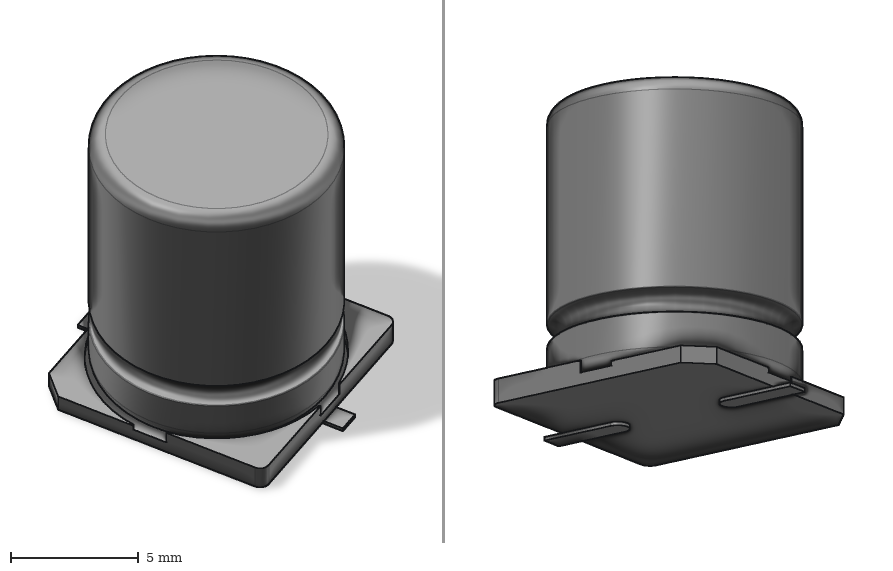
import cadquery as cq
import math

total_height = 12.5
terminal_span = 12.0

terminal_thickness = 0.15
terminal_width = 0.95
terminal_length = 3.7

base_side = 10.3
base_low_top = 0.85
base_high_top = 1.15
seat_floor = 0.65
slot_width = 1.5
corner_cut = 1.0
round_corner_radius = 0.4

can_radius = 5.0
can_edge_radius = 0.65
groove_center_height = 3.25
groove_radius = 0.5
lip_radius = 0.04


def block(x_min, x_max, width, z_min, z_max):
    """Box centred on Y between the given X and Z limits."""
    length = x_max - x_min
    return (
        cq.Workplane("XY", origin=((x_min + x_max) / 2, 0, z_min))
        .rect(length, width)
        .extrude(z_max - z_min)
    )


def make_base():
    half_side = base_side / 2
    low_half = block(-half_side, 0, base_side, terminal_thickness, base_low_top)
    high_half = block(0, half_side, base_side, terminal_thickness, base_high_top)
    low_half = low_half.edges("|Z and <X").chamfer(corner_cut)
    high_half = high_half.edges("|Z and >X").fillet(round_corner_radius)
    base = low_half.union(high_half)

    seat = cq.Workplane("XY", origin=(0, 0, seat_floor)).circle(half_side).extrude(base_high_top)
    slot = block(-base_side, base_side, slot_width, seat_floor, base_high_top + 0.12)
    cross_slot = slot.rotate((0, 0, 0), (0, 0, 1), 90)
    return base.cut(slot).cut(cross_slot).cut(seat)


def make_can():
    """Closed can with rounded rims and a half-round groove near its foot."""
    lip_center_r = can_radius - lip_radius
    lip_rise = math.sqrt((groove_radius + lip_radius) ** 2 - lip_radius ** 2)
    touch_ratio = groove_radius / (groove_radius + lip_radius)
    touch_r = can_radius - lip_radius * touch_ratio
    touch_rise = lip_rise * touch_ratio
    touch_angle = math.atan2(touch_rise - lip_rise, touch_r - lip_center_r)
    mid_r = lip_center_r + lip_radius * math.cos(touch_angle / 2)
    mid_rise = lip_rise + lip_radius * math.sin(touch_angle / 2)

    rim_r = can_radius - can_edge_radius
    rim_mid = can_edge_radius * math.sqrt(0.5)
    low_rim = seat_floor + can_edge_radius
    high_rim = total_height - can_edge_radius
    mid_z = groove_center_height
    profile = (
        cq.Workplane("XZ")
        .moveTo(0, seat_floor)
        .lineTo(rim_r, seat_floor)
        .threePointArc((rim_r + rim_mid, low_rim - rim_mid), (can_radius, low_rim))
        .lineTo(can_radius, mid_z - lip_rise)
        .threePointArc((mid_r, mid_z - mid_rise), (touch_r, mid_z - touch_rise))
        .threePointArc((can_radius - groove_radius, mid_z), (touch_r, mid_z + touch_rise))
        .threePointArc((mid_r, mid_z + mid_rise), (can_radius, mid_z + lip_rise))
        .lineTo(can_radius, high_rim)
        .threePointArc((rim_r + rim_mid, high_rim + rim_mid), (rim_r, total_height))
        .lineTo(0, total_height)
        .close()
    )
    return profile.revolve(360, (0, 0, 0), (0, 1, 0))


def make_terminal():
    """Flat terminal on the -X side with a fully rounded inner end."""
    outer_x = -terminal_span / 2
    inner_x = outer_x + terminal_length
    half_width = terminal_width / 2
    return (
        cq.Workplane("XY")
        .moveTo(outer_x, -half_width)
        .lineTo(inner_x - half_width, -half_width)
        .threePointArc((inner_x, 0), (inner_x - half_width, half_width))
        .lineTo(outer_x, half_width)
        .close()
        .extrude(terminal_thickness)
    )


terminal = make_terminal()
result = make_base().union(make_can()).union(terminal).union(terminal.mirror("YZ"))